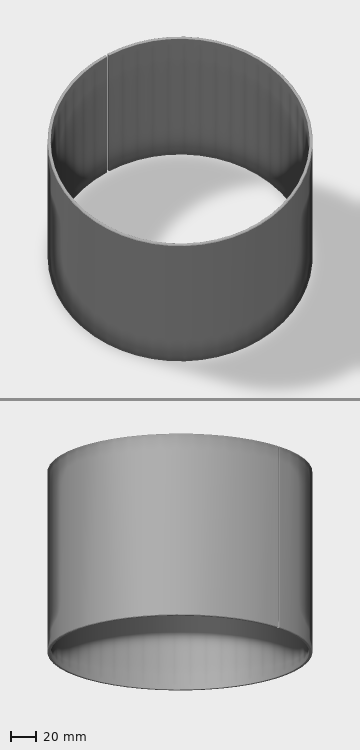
import cadquery as cq

OUTER_DIAMETER = 210.0
WALL_THICKNESS = 2.5
HEIGHT = 150.0
OUTER_CHAMFER = 0.5
INNER_CHAMFER = 0.2
SLIT_ANGLE = 1.0

OUTER_RADIUS = OUTER_DIAMETER / 2
INNER_RADIUS = OUTER_RADIUS - WALL_THICKNESS
SWEEP_ANGLE = 360 - SLIT_ANGLE


def wall_section():
    """Radial section of the wall on the -X side, chamfered at both rims inside and out."""
    outer_x = -OUTER_RADIUS
    inner_x = -INNER_RADIUS
    return (
        cq.Workplane("XZ")
        .moveTo(outer_x, OUTER_CHAMFER)
        .lineTo(outer_x, HEIGHT - OUTER_CHAMFER)
        .lineTo(outer_x + OUTER_CHAMFER, HEIGHT)
        .lineTo(inner_x - INNER_CHAMFER, HEIGHT)
        .lineTo(inner_x, HEIGHT - INNER_CHAMFER)
        .lineTo(inner_x, INNER_CHAMFER)
        .lineTo(inner_x - INNER_CHAMFER, 0)
        .lineTo(outer_x + OUTER_CHAMFER, 0)
        .close()
    )


def split_sleeve():
    """Wall section revolved about the Z axis, leaving a narrow slit on the +Y side of the -X axis."""
    return wall_section().revolve(SWEEP_ANGLE, (0, 0), (0, 1))


result = split_sleeve()